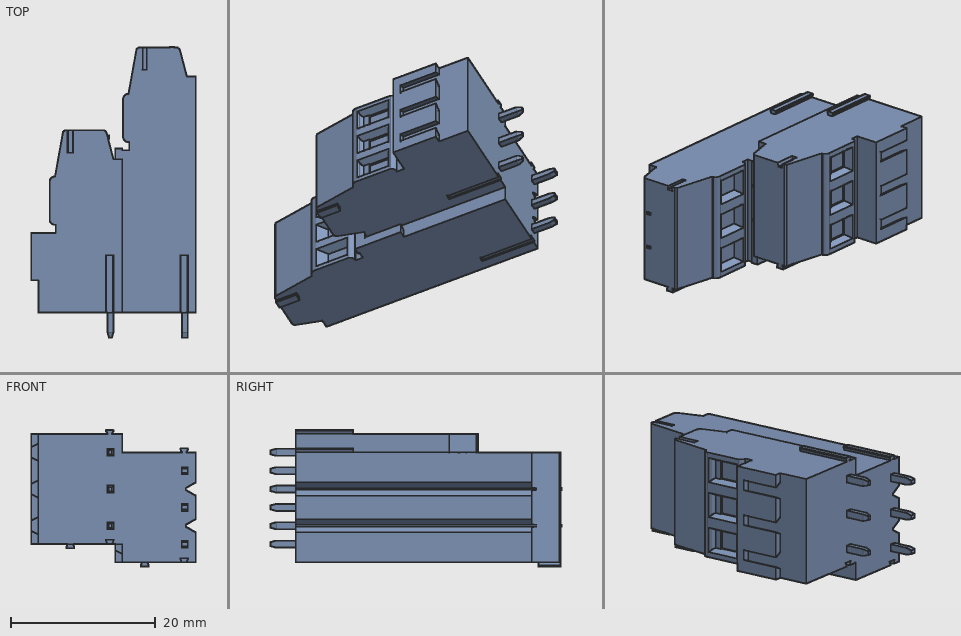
import cadquery as cq

POLES = 3
PITCH = 5.08
BLOCK_LENGTH = POLES * PITCH

TIER_DX = 2 * PITCH
TIER_DY = 11.43
TIER_DZ = -PITCH / 2
REAR_FITTING_DX = TIER_DX + 0.13

FRONT_BOTTOM_Z = PITCH / 2
WALL_X = 1.0
BULGE_X = 2.55
NECK_X = 3.4
SLOPE_FOOT_X = 3.3
CROWN_LEFT_X = 4.45
CROWN_RIGHT_X = 10.35
SHOULDER_X = 11.4
FRONT_RIGHT_X = 12.64
BULGE_BOTTOM_Y = 12.15
BULGE_TOP_Y = 18.83
BULGE_ROUND_RUN = 0.58
BULGE_ROUND_RADIUS = 0.8
FRONT_ROUND_TOP_RISE = 0.72
FRONT_ROUND_BOTTOM_RISE = 0.58
REAR_ROUND_RISE = 0.8
SHOULDER_Y = 21.23
CROWN_Y = 25.24
CROWN_CHAMFER = 0.25

LEDGE_DEPTH = 1.0
LEDGE_BOTTOM_Y = 4.45
LEDGE_TOP_Y = 11.04
SLOT_TOP_Y = 9.95
SLOT_MOUTH = 1.4
SLOT_FLOOR = 2.4
REAR_LEDGE_BOTTOM_Y = 15.65
REAR_LEDGE_TOP_Y = 22.7
REAR_SLOT_MOUTH = 1.75
REAR_SLOT_FLOOR = 2.7

FUNNEL_LOW_Y = 13.0
FUNNEL_HIGH_Y = 17.82
FUNNEL_FLOOR_LOW_Y = 13.6
FUNNEL_FLOOR_HIGH_Y = 16.5
FUNNEL_DEPTH = 1.3
FUNNEL_TAPER_DEPTH = 1.05
REAR_FUNNEL_DEPTH = 1.2
FUNNEL_HEIGHT = 3.56
FUNNEL_FLOOR_HEIGHT = 2.56
CLAMP_DEPTH = 0.95
CLAMP_EDGE_Y = 17.33
CLAMP_CURVE_Y = 17.6
CLAMP_CURVE_DEPTH = 0.65
CLAMP_LIP_DEPTH = 0.3
CLAMP_LIP_Y = 17.7

PIN_X = 10.98
PIN_WIDTH = 0.85
PIN_THICKNESS = 1.0
PIN_LENGTH = 3.5
PIN_TAPER = 0.8
PIN_TIP_WIDTH = 0.42
PIN_TIP_THICKNESS = 0.56

OVERALL_Z = 18.93
JOINT_HEIGHT = (OVERALL_Z - BLOCK_LENGTH + TIER_DZ) / 2
RAIL_X = 10.88
RAIL_WIDE = 1.12
RAIL_NARROW = 0.65
RAIL_TOP = 0.9
RAIL_LIP = 0.12
RAIL_LENGTH = 7.95
FOOT_X = 5.43
FOOT_WIDE = 1.1
FOOT_NARROW = 0.8
FOOT_LIP = 0.2
FOOT_LENGTH = 3.1
GROOVE_MOUTH = 0.85
GROOVE_FLOOR = 0.6
REAR_GROOVE_MOUTH = 0.55
REAR_GROOVE_FLOOR = 0.85

NOTCH_DEPTH = 1.4
NOTCH_HALF_WIDTH = 0.92
NOTCH_TIP_HALF_WIDTH = 0.12

NUB_WIDTH = 0.6
NUB_THICKNESS = 0.3
NUB_HEIGHT = 0.13
REAR_NUB_X = 19.5
FRONT_NUB_X = 10.6
FRONT_NUB_Y = 24.3
FRONT_NUB_SIZE = 0.45

PIN_ROOT = 0.2

REAR_RIGHT_X = FRONT_RIGHT_X + TIER_DX
REAR_BOTTOM_Z = FRONT_BOTTOM_Z + TIER_DZ
REAR_CROWN_Y = CROWN_Y + TIER_DY


def pole_centres(bottom_z):
    """Z of each pole in a tier starting at bottom_z."""
    return [bottom_z + (pole + 0.5) * PITCH for pole in range(POLES)]


def pole_boundaries(bottom_z):
    """Z midway between neighbouring poles."""
    return [bottom_z + pole * PITCH for pole in range(1, POLES)]


def prism_along_y(points, start_y, length):
    """Extrude an XZ outline toward +Y from start_y."""
    return cq.Workplane("XZ", origin=(0, start_y, 0)).polyline(points).close().extrude(-length)


def housing(dx, dy, wall_x, bottom_z, top_rise, bottom_rise):
    """Body of one tier: plain foot, rounded wire-entry bulge and tapered crown."""
    crown_y = CROWN_Y + dy
    outline = (
        cq.Workplane("XY")
        .workplane(offset=bottom_z)
        .moveTo(wall_x, 0)
        .lineTo(FRONT_RIGHT_X + dx, 0)
        .lineTo(FRONT_RIGHT_X + dx, SHOULDER_Y + dy)
        .lineTo(SHOULDER_X + dx, SHOULDER_Y + dy)
        .lineTo(CROWN_RIGHT_X + dx, crown_y)
        .lineTo(CROWN_LEFT_X + dx, crown_y)
        .lineTo(SLOPE_FOOT_X + dx, BULGE_TOP_Y + dy)
        .lineTo(BULGE_X + BULGE_ROUND_RUN + dx, BULGE_TOP_Y + dy)
        .radiusArc((BULGE_X + dx, BULGE_TOP_Y - top_rise + dy), -BULGE_ROUND_RADIUS)
        .lineTo(BULGE_X + dx, BULGE_BOTTOM_Y + bottom_rise + dy)
        .radiusArc((BULGE_X + BULGE_ROUND_RUN + dx, BULGE_BOTTOM_Y + dy), -BULGE_ROUND_RADIUS)
        .lineTo(NECK_X + dx, BULGE_BOTTOM_Y + dy)
        .lineTo(NECK_X + dx, LEDGE_TOP_Y + dy)
        .lineTo(wall_x, LEDGE_TOP_Y + dy)
        .close()
    )
    return outline.extrude(BLOCK_LENGTH).edges("|Z and >Y").chamfer(CROWN_CHAMFER)


def ledge(wall_x, bottom_y, top_y, slot_top_y, slot_mouth, slot_floor, bottom_z):
    """Row of blocks in front of the wall, parted by a dovetail slot at each pole."""
    face_x = wall_x - LEDGE_DEPTH
    blocks = cq.Workplane("XY").box(LEDGE_DEPTH, top_y - bottom_y, BLOCK_LENGTH, centered=False)
    blocks = blocks.translate((face_x, bottom_y, bottom_z))
    for z in pole_centres(bottom_z):
        slot = [
            (face_x, z - slot_mouth / 2),
            (face_x, z + slot_mouth / 2),
            (wall_x, z + slot_floor / 2),
            (wall_x, z - slot_floor / 2),
        ]
        blocks = blocks.cut(prism_along_y(slot, bottom_y, slot_top_y - bottom_y))
    return blocks


def funnel(outline, face_x, taper_depth, z):
    """Wire entry: an XY outline narrowing above and below down to the taper depth."""
    taper_x = face_x + taper_depth
    floor_x = face_x + FUNNEL_DEPTH
    half_mouth = FUNNEL_HEIGHT / 2
    half_floor = FUNNEL_FLOOR_HEIGHT / 2
    section = [
        (face_x, z - half_mouth),
        (face_x, z + half_mouth),
        (taper_x, z + half_floor),
        (floor_x, z + half_floor),
        (floor_x, z - half_floor),
        (taper_x, z - half_floor),
    ]
    sides = prism_along_y(section, 0, REAR_CROWN_Y)
    return outline.extrude(FUNNEL_HEIGHT).translate((0, 0, z - half_mouth)).intersect(sides)


def front_funnel_outline():
    """Funnel outline with a rounded clamp lip along its upper wall."""
    return (
        cq.Workplane("XY")
        .moveTo(BULGE_X, FUNNEL_LOW_Y)
        .lineTo(BULGE_X + FUNNEL_TAPER_DEPTH, FUNNEL_FLOOR_LOW_Y)
        .lineTo(BULGE_X + FUNNEL_DEPTH, FUNNEL_FLOOR_LOW_Y)
        .lineTo(BULGE_X + FUNNEL_DEPTH, FUNNEL_FLOOR_HIGH_Y)
        .lineTo(BULGE_X + CLAMP_DEPTH, FUNNEL_FLOOR_HIGH_Y)
        .lineTo(BULGE_X + CLAMP_DEPTH, CLAMP_EDGE_Y)
        .threePointArc(
            (BULGE_X + CLAMP_CURVE_DEPTH, CLAMP_CURVE_Y),
            (BULGE_X + CLAMP_LIP_DEPTH, CLAMP_LIP_Y),
        )
        .lineTo(BULGE_X, FUNNEL_HIGH_Y)
        .close()
    )


def rear_funnel_outline():
    """Plain funnel outline, sloping to its floor on both walls."""
    face_x = BULGE_X + TIER_DX
    floor_x = face_x + REAR_FUNNEL_DEPTH
    return (
        cq.Workplane("XY")
        .moveTo(face_x, FUNNEL_LOW_Y + TIER_DY)
        .lineTo(floor_x, FUNNEL_FLOOR_LOW_Y + TIER_DY)
        .lineTo(floor_x, FUNNEL_FLOOR_HIGH_Y + TIER_DY)
        .lineTo(face_x, FUNNEL_HIGH_Y + TIER_DY)
        .close()
    )


def mirrored_bar(profile, x, start_y, length):
    """Bar along Y with a symmetric section given as (width, z) pairs."""
    left = [(x - width / 2, z) for width, z in profile]
    right = [(x + width / 2, z) for width, z in reversed(profile)]
    return prism_along_y(left + right, start_y, length)


def pin(x, z, tip_width):
    """Rectangular contact pin with a tapered tip, rooted in the housing."""
    shank_length = PIN_LENGTH - PIN_TAPER
    shank = cq.Workplane("XY").box(PIN_WIDTH, shank_length + PIN_ROOT, PIN_THICKNESS)
    shank = shank.translate((x, (PIN_ROOT - shank_length) / 2, z))
    tip = (
        cq.Workplane("XZ", origin=(x, -shank_length, z))
        .rect(PIN_WIDTH, PIN_THICKNESS)
        .workplane(offset=PIN_TAPER)
        .rect(tip_width, PIN_TIP_THICKNESS)
        .loft(ruled=True)
    )
    return shank.union(tip)


def add_joints(tier, dx, dy, bottom_z, groove_mouth, groove_floor):
    """Dovetail rail and foot, and the matching grooves on the opposite faces."""
    top_z = bottom_z + BLOCK_LENGTH
    rail_z = top_z + JOINT_HEIGHT
    foot_z = bottom_z - JOINT_HEIGHT
    rail_x = RAIL_X + dx
    foot_x = FOOT_X + dx
    foot_y = CROWN_Y + dy - FOOT_LENGTH
    rail = [(RAIL_NARROW, top_z), (RAIL_WIDE, rail_z - RAIL_LIP), (RAIL_TOP, rail_z)]
    rail_groove = [(RAIL_NARROW, bottom_z), (RAIL_WIDE, bottom_z + JOINT_HEIGHT)]
    foot = [(FOOT_NARROW, bottom_z), (FOOT_WIDE, foot_z + FOOT_LIP), (FOOT_WIDE, foot_z)]
    foot_groove = [(groove_mouth, top_z), (groove_floor, top_z - JOINT_HEIGHT)]
    tier = tier.union(mirrored_bar(rail, rail_x, 0, RAIL_LENGTH))
    tier = tier.cut(mirrored_bar(rail_groove, rail_x, 0, RAIL_LENGTH))
    tier = tier.union(mirrored_bar(foot, foot_x, foot_y, FOOT_LENGTH))
    return tier.cut(mirrored_bar(foot_groove, foot_x, foot_y, FOOT_LENGTH))


def front_tier():
    tier = housing(0, 0, WALL_X, FRONT_BOTTOM_Z, FRONT_ROUND_TOP_RISE, FRONT_ROUND_BOTTOM_RISE)
    tier = tier.union(
        ledge(WALL_X, LEDGE_BOTTOM_Y, LEDGE_TOP_Y, SLOT_TOP_Y, SLOT_MOUTH, SLOT_FLOOR, FRONT_BOTTOM_Z)
    )
    tier = add_joints(tier, 0, 0, FRONT_BOTTOM_Z, GROOVE_MOUTH, GROOVE_FLOOR)
    for z in pole_centres(FRONT_BOTTOM_Z):
        tier = tier.cut(funnel(front_funnel_outline(), BULGE_X, FUNNEL_TAPER_DEPTH, z))
        tier = tier.union(pin(PIN_X, z, PIN_TIP_WIDTH))
    for z in pole_boundaries(FRONT_BOTTOM_Z):
        nub = cq.Workplane("XY").box(FRONT_NUB_SIZE, FRONT_NUB_SIZE, NUB_THICKNESS)
        tier = tier.union(nub.translate((FRONT_NUB_X, FRONT_NUB_Y, z)))
    return tier


def rear_notch(z):
    """V notch running the full height of the back face."""
    tip_x = REAR_RIGHT_X - NOTCH_DEPTH
    section = [
        (REAR_RIGHT_X, z - NOTCH_HALF_WIDTH),
        (REAR_RIGHT_X, z + NOTCH_HALF_WIDTH),
        (tip_x, z + NOTCH_TIP_HALF_WIDTH),
        (tip_x, z - NOTCH_TIP_HALF_WIDTH),
    ]
    return prism_along_y(section, 0, REAR_CROWN_Y)


def rear_tier():
    wall_x = FRONT_RIGHT_X
    tier = housing(TIER_DX, TIER_DY, wall_x, REAR_BOTTOM_Z, REAR_ROUND_RISE, REAR_ROUND_RISE)
    tier = tier.union(
        ledge(
            wall_x, REAR_LEDGE_BOTTOM_Y, REAR_LEDGE_TOP_Y, SHOULDER_Y,
            REAR_SLOT_MOUTH, REAR_SLOT_FLOOR, REAR_BOTTOM_Z,
        )
    )
    tier = add_joints(
        tier, REAR_FITTING_DX, TIER_DY, REAR_BOTTOM_Z, REAR_GROOVE_MOUTH, REAR_GROOVE_FLOOR
    )
    for z in pole_centres(REAR_BOTTOM_Z):
        tier = tier.cut(funnel(rear_funnel_outline(), BULGE_X + TIER_DX, REAR_FUNNEL_DEPTH, z))
        tier = tier.union(pin(PIN_X + REAR_FITTING_DX, z, PIN_WIDTH))
    for z in pole_boundaries(REAR_BOTTOM_Z):
        tier = tier.cut(rear_notch(z))
        nub = cq.Workplane("XY").box(NUB_WIDTH, 2 * NUB_HEIGHT, NUB_THICKNESS)
        tier = tier.union(nub.translate((REAR_NUB_X, REAR_CROWN_Y, z)))
    return tier


result = front_tier().union(rear_tier())